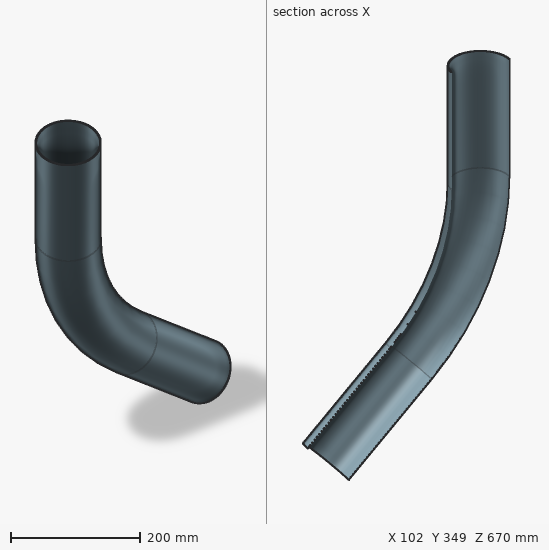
import cadquery as cq
import math

overall_height = 670.0
overall_depth = 349.0
outer_diameter = 102.0
inner_diameter = 98.5
bend_angle = 45.0
bend_radius = 407.5

outer_radius = outer_diameter / 2
sine = math.sin(math.radians(bend_angle))
cosine = math.cos(math.radians(bend_angle))
bend_depth = bend_radius * (1 - cosine)
bend_drop = bend_radius * sine
lower_leg_depth = overall_depth - outer_radius * (1 + cosine) - bend_depth
lower_leg_length = lower_leg_depth / sine
lower_leg_drop = lower_leg_length * cosine
upper_leg_length = overall_height - bend_drop - lower_leg_drop - outer_radius * sine


def ring(workplane):
    """Pipe cross-section."""
    return workplane.circle(outer_radius).circle(inner_diameter / 2)


upper_leg = ring(cq.Workplane("XY")).extrude(upper_leg_length)

bend = ring(cq.Workplane("XY")).revolve(
    bend_angle, (0, bend_radius, 0), (1, bend_radius, 0)
)

bend_end = cq.Plane(
    origin=(0, bend_depth, -bend_drop), xDir=(1, 0, 0), normal=(0, sine, -cosine)
)
lower_leg = ring(cq.Workplane(bend_end)).extrude(lower_leg_length)

result = upper_leg.union(bend).union(lower_leg)